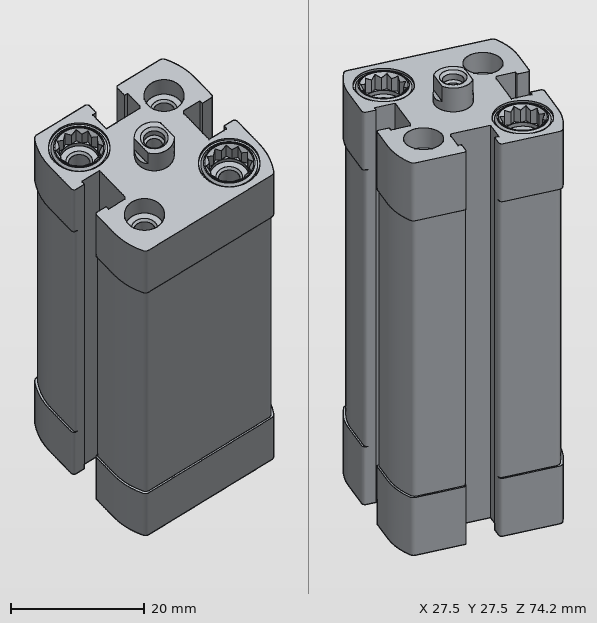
import cadquery as cq
import math

TOTAL_HEIGHT = 74.2
ROD_PROTRUSION = 4.2
HOUSING_HEIGHT = TOTAL_HEIGHT - ROD_PROTRUSION
CAP_HEIGHT = 10.3
CAP_WIDTH = 27.5
PROFILE_INSET = 0.3

CORNER_ARC_WIDTH = 5.85
CORNER_ARC_RADIUS = 11.1
CORNER_ROUND_RADIUS = 0.9

MOUTH_NEAR = -2.0
MOUTH_FAR = 3.35
CAVITY_NEAR = -2.7
CAVITY_FAR = 3.9
SLOT_FLOOR = 8.3
LIP_UNDERSIDE = 11.65
MOUTH_NEAR_ROUND = 0.5
MOUTH_FAR_ROUND = 0.4
FLOOR_ROUND = 0.45

HOLE_OFFSET = 8.0
SCREW_HOLE_DIAMETER = 3.3
SCREW_HOLE_CHAMFER = 0.4
COUNTERBORE_DIAMETER = 6.0
COUNTERBORE_DEPTH = 3.55

GROOVE_OUTER_DIAMETER = 9.2
GROOVE_INNER_DIAMETER = 8.5
GROOVE_DEPTH = 0.4
RIM_OUTER_DIAMETER = 7.7
RIM_INNER_DIAMETER = 7.35
SPLINE_TIP_DIAMETER = 6.0
SPLINE_ROOT_DIAMETER = 7.0
SPLINE_DEPTH = 2.9
SPLINE_TEETH = 12

ROD_DIAMETER = 6.0
ROD_INSERTION = CAP_HEIGHT
FLAT_SPACING = 5.0
FLAT_LENGTH = 2.7
FLAT_RUNOUT_ANGLE = 30.0
ROD_MOUTH_DIAMETER = 4.15
ROD_BORE_DIAMETER = 3.3
ROD_BORE_DEPTH = 1.5
ROD_CORE_DIAMETER = 2.45
ROD_STEP_DEPTH = 0.3
ROD_CORE_DEPTH = 5.9
DRILL_TIP_ANGLE = 118.0


def cylinder(diameter, bottom, top):
    return cq.Workplane("XY").workplane(offset=bottom).circle(diameter / 2).extrude(top - bottom)


def cone(bottom_diameter, top_diameter, bottom, top):
    """Solid of revolution about Z; a bottom diameter of zero gives a point."""
    points = [(0, bottom), (bottom_diameter / 2, bottom), (top_diameter / 2, top), (0, top)]
    if bottom_diameter == 0:
        points.pop(0)
    return cq.Workplane("XZ").polyline(points).close().revolve(360, (0, 0), (0, 1))


def body_blank(half_width, height):
    """Square prism whose corners are a large arc blended into the X faces."""
    arc_center_x = half_width - CORNER_ARC_WIDTH
    arc_center_y = half_width - CORNER_ARC_RADIUS
    arc_end_y = arc_center_y + math.sqrt(CORNER_ARC_RADIUS**2 - CORNER_ARC_WIDTH**2)
    half_angle = math.asin(CORNER_ARC_WIDTH / CORNER_ARC_RADIUS) / 2
    arc_mid_x = arc_center_x + CORNER_ARC_RADIUS * math.sin(half_angle)
    arc_mid_y = arc_center_y + CORNER_ARC_RADIUS * math.cos(half_angle)
    outline = (
        cq.Workplane("XY")
        .moveTo(-arc_center_x, half_width)
        .lineTo(arc_center_x, half_width)
        .threePointArc((arc_mid_x, arc_mid_y), (half_width, arc_end_y))
        .lineTo(half_width, -arc_end_y)
        .threePointArc((arc_mid_x, -arc_mid_y), (arc_center_x, -half_width))
        .lineTo(-arc_center_x, -half_width)
        .threePointArc((-arc_mid_x, -arc_mid_y), (-half_width, -arc_end_y))
        .lineTo(-half_width, arc_end_y)
        .threePointArc((-arc_mid_x, arc_mid_y), (-arc_center_x, half_width))
        .close()
    )
    blank = outline.extrude(height)
    sharp_edges = []
    for x in (-half_width, half_width):
        for y in (-arc_end_y, arc_end_y):
            nearest = cq.selectors.NearestToPointSelector((x, y, height / 2))
            sharp_edges.append(blank.edges(nearest).val())
    return blank.newObject(sharp_edges).fillet(CORNER_ROUND_RADIUS)


def slot_cutter(half_width, height, place):
    """Undercut slot; place() turns (along the face, out from the axis) into (x, y)."""
    bend = 1 - math.sqrt(0.5)

    def mouth_corner(edge, radius, toward_lip):
        on_face = (edge + toward_lip * radius, half_width)
        middle = (edge + toward_lip * bend * radius, half_width - bend * radius)
        on_wall = (edge, half_width - radius)
        return on_face, middle, on_wall

    near_face, near_middle, near_wall = mouth_corner(MOUTH_NEAR, MOUTH_NEAR_ROUND, -1)
    far_face, far_middle, far_wall = mouth_corner(MOUTH_FAR, MOUTH_FAR_ROUND, 1)
    floor_bend = bend * FLOOR_ROUND
    return (
        cq.Workplane("XY")
        .moveTo(*place(*near_face))
        .threePointArc(place(*near_middle), place(*near_wall))
        .lineTo(*place(MOUTH_NEAR, LIP_UNDERSIDE))
        .lineTo(*place(CAVITY_NEAR, LIP_UNDERSIDE))
        .lineTo(*place(CAVITY_NEAR, SLOT_FLOOR))
        .lineTo(*place(CAVITY_FAR - FLOOR_ROUND, SLOT_FLOOR))
        .threePointArc(
            place(CAVITY_FAR - floor_bend, SLOT_FLOOR + floor_bend),
            place(CAVITY_FAR, SLOT_FLOOR + FLOOR_ROUND),
        )
        .lineTo(*place(CAVITY_FAR, LIP_UNDERSIDE))
        .lineTo(*place(MOUTH_FAR, LIP_UNDERSIDE))
        .lineTo(*place(*far_wall))
        .threePointArc(place(*far_middle), place(*far_face))
        .close()
        .extrude(height)
    )


def on_front(along, out):
    return (along, -out)


def on_back(along, out):
    return (-along, out)


def on_left(along, out):
    return (-out, along)


def slotted_section(half_width, bottom, top):
    """Length of the body between two heights, with its three slots."""
    section = body_blank(half_width, top - bottom)
    for place in (on_front, on_back, on_left):
        section = section.cut(slot_cutter(half_width, top - bottom, place))
    return section.translate((0, 0, bottom))


def screw_hole(floor):
    """Through hole with a chamfered mouth at the given floor height."""
    mouth_diameter = SCREW_HOLE_DIAMETER + 2 * SCREW_HOLE_CHAMFER
    hole = cylinder(SCREW_HOLE_DIAMETER, 0, floor)
    chamfer = cone(SCREW_HOLE_DIAMETER, mouth_diameter, floor - SCREW_HOLE_CHAMFER, floor)
    return hole.union(chamfer)


def counterbored_hole():
    """Screw hole with a flat-bottomed recess for a screw head."""
    floor = HOUSING_HEIGHT - COUNTERBORE_DEPTH
    return screw_hole(floor).union(cylinder(COUNTERBORE_DIAMETER, floor, HOUSING_HEIGHT))


def spline_cutter():
    """Star-shaped opening whose teeth point inward, chamfered at its mouth."""
    pitch = 2 * math.pi / SPLINE_TEETH
    star = []
    for tooth in range(SPLINE_TEETH):
        for diameter, angle in (
            (SPLINE_ROOT_DIAMETER, tooth * pitch),
            (SPLINE_TIP_DIAMETER, (tooth + 0.5) * pitch),
        ):
            star.append((diameter / 2 * math.cos(angle), diameter / 2 * math.sin(angle)))
    teeth = (
        cq.Workplane("XY")
        .workplane(offset=HOUSING_HEIGHT - SPLINE_DEPTH)
        .polyline(star)
        .close()
        .extrude(SPLINE_DEPTH)
    )
    chamfer = (RIM_INNER_DIAMETER - SPLINE_TIP_DIAMETER) / 2
    return teeth.union(
        cone(SPLINE_TIP_DIAMETER, RIM_INNER_DIAMETER, HOUSING_HEIGHT - chamfer, HOUSING_HEIGHT)
    )


def ring_groove():
    """Groove around the rim: straight outer wall, sloping inner wall."""
    groove_floor = HOUSING_HEIGHT - GROOVE_DEPTH
    return (
        cq.Workplane("XZ")
        .polyline([
            (RIM_OUTER_DIAMETER / 2, HOUSING_HEIGHT),
            (GROOVE_INNER_DIAMETER / 2, groove_floor),
            (GROOVE_OUTER_DIAMETER / 2, groove_floor),
            (GROOVE_OUTER_DIAMETER / 2, HOUSING_HEIGHT),
        ])
        .close()
        .revolve(360, (0, 0), (0, 1))
    )


def splined_hole():
    """Counterbored hole with a toothed mouth and a groove around it."""
    return counterbored_hole().union(spline_cutter()).union(ring_groove())


def make_housing():
    """Profile between two slightly wider end caps, with screw holes and rod bore."""
    cap_half = CAP_WIDTH / 2
    profile_half = cap_half - PROFILE_INSET
    upper_cap_bottom = HOUSING_HEIGHT - CAP_HEIGHT
    housing = (
        slotted_section(cap_half, 0, CAP_HEIGHT)
        .union(slotted_section(profile_half, CAP_HEIGHT, upper_cap_bottom))
        .union(slotted_section(cap_half, upper_cap_bottom, HOUSING_HEIGHT))
    )
    for side in (-1, 1):
        offset = side * HOLE_OFFSET
        housing = housing.cut(splined_hole().translate((offset, offset, 0)))
        housing = housing.cut(counterbored_hole().translate((offset, -offset, 0)))
    return housing.cut(cylinder(ROD_DIAMETER, HOUSING_HEIGHT - ROD_INSERTION, HOUSING_HEIGHT))


def flat_cutter():
    """Removes one wrench flat on the -Y side, ending in a sloping run-out."""
    flat_y = -FLAT_SPACING / 2
    outer_y = -ROD_DIAMETER
    flat_end = TOTAL_HEIGHT - FLAT_LENGTH
    runout_end = flat_end - (flat_y - outer_y) * math.tan(math.radians(FLAT_RUNOUT_ANGLE))
    return (
        cq.Workplane("YZ")
        .polyline([
            (flat_y, TOTAL_HEIGHT),
            (flat_y, flat_end),
            (outer_y, runout_end),
            (outer_y, TOTAL_HEIGHT),
        ])
        .close()
        .extrude(ROD_DIAMETER / 2, both=True)
    )


def rod_bore():
    """Chamfered bore that tapers into a narrower drilled hole with a pointed end."""
    chamfer = (ROD_MOUTH_DIAMETER - ROD_BORE_DIAMETER) / 2
    tip_height = ROD_CORE_DIAMETER / 2 / math.tan(math.radians(DRILL_TIP_ANGLE / 2))
    step_top = TOTAL_HEIGHT - ROD_BORE_DEPTH
    core_bottom = TOTAL_HEIGHT - ROD_CORE_DEPTH
    return (
        cone(ROD_BORE_DIAMETER, ROD_MOUTH_DIAMETER, TOTAL_HEIGHT - chamfer, TOTAL_HEIGHT)
        .union(cylinder(ROD_BORE_DIAMETER, step_top, TOTAL_HEIGHT))
        .union(cone(ROD_CORE_DIAMETER, ROD_BORE_DIAMETER, step_top - ROD_STEP_DEPTH, step_top))
        .union(cylinder(ROD_CORE_DIAMETER, core_bottom, TOTAL_HEIGHT))
        .union(cone(0, ROD_CORE_DIAMETER, core_bottom - tip_height, core_bottom))
    )


def make_piston_rod():
    """Round rod with two wrench flats and a bore in its end."""
    rod = cylinder(ROD_DIAMETER, HOUSING_HEIGHT - ROD_INSERTION, TOTAL_HEIGHT)
    for turn in (0, 180):
        rod = rod.cut(flat_cutter().rotate((0, 0, 0), (0, 0, 1), turn))
    return rod.cut(rod_bore())


housing = make_housing()
piston_rod = make_piston_rod()
result = cq.Compound.makeCompound([housing.val(), piston_rod.val()])